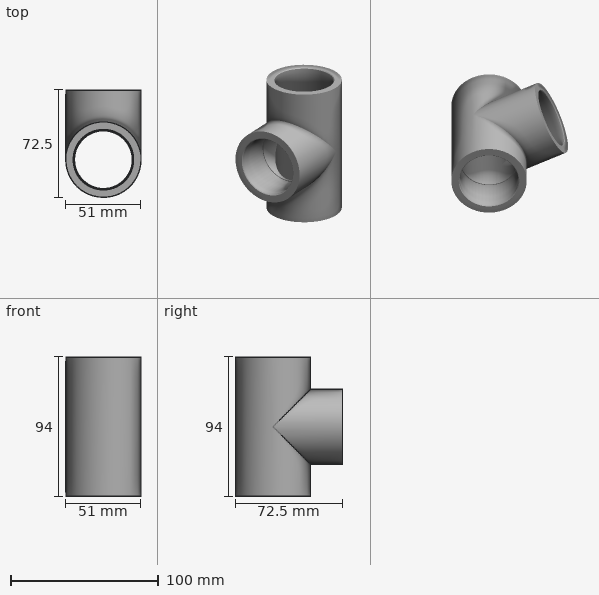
import cadquery as cq

outer_diameter = 51.0
socket_diameter = 40.0
bore_diameter = 39.0
run_length = 94.0
branch_reach = run_length / 2
socket_depth = 26.0
mouth_chamfer = 0.5

up = cq.Plane(origin=(0, 0, 0), xDir=(1, 0, 0), normal=(0, 0, 1))
down = cq.Plane(origin=(0, 0, 0), xDir=(1, 0, 0), normal=(0, 0, -1))
back = cq.Plane(origin=(0, 0, 0), xDir=(1, 0, 0), normal=(0, 1, 0))
arm_planes = (up, down, back)


def outer_arm(plane):
    """Solid cylinder from the tee centre to one mouth."""
    return cq.Workplane(plane).circle(outer_diameter / 2).extrude(branch_reach)


def arm_cavity(plane):
    """Bore, wider pipe socket and chamfered mouth of one arm, revolved about its axis."""
    bore_radius = bore_diameter / 2
    socket_radius = socket_diameter / 2
    socket_floor = branch_reach - socket_depth
    profile = (
        cq.Workplane(plane)
        .transformed(rotate=(90, 0, 0))
        .moveTo(0, 0)
        .lineTo(bore_radius, 0)
        .lineTo(bore_radius, socket_floor)
        .lineTo(socket_radius, socket_floor)
        .lineTo(socket_radius, branch_reach - mouth_chamfer)
        .lineTo(socket_radius + mouth_chamfer, branch_reach)
        .lineTo(0, branch_reach)
        .close()
    )
    return profile.revolve(360, (0, 0, 0), (0, 1, 0))


result = cq.Workplane("XY")
for arm_plane in arm_planes:
    result = result.union(outer_arm(arm_plane))
for arm_plane in arm_planes:
    result = result.cut(arm_cavity(arm_plane))